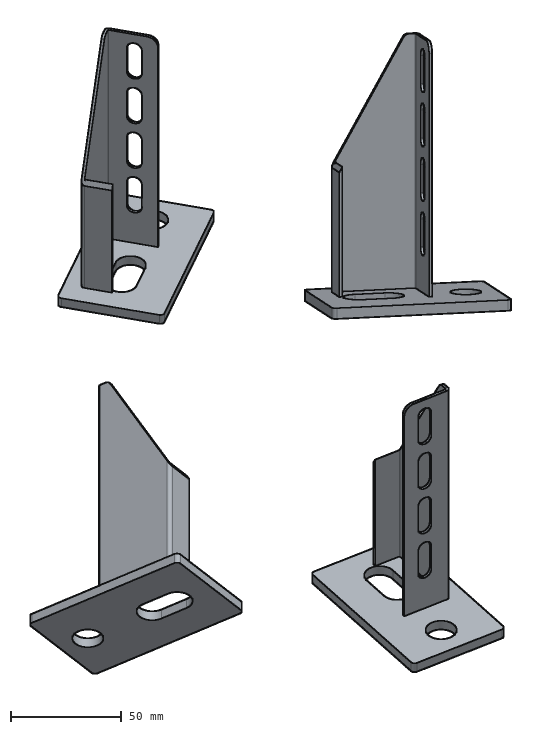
import cadquery as cq
import math

plate_width = 50.0
plate_depth = 84.0
plate_thickness = 5.0
plate_corner_radius = 2.0
hole_diameter = 14.0
round_hole_y = 27.1
long_hole_y = -16.1
long_hole_length = 28.0

total_height = 122.0
sheet_thickness = 1.5
bend_outer_radius = 1.7
bend_inner_radius = bend_outer_radius - sheet_thickness
web_x = -17.0
back_y = 9.2
front_y = -31.6
back_flange_width = 25.0
front_flange_width = 14.8
back_flange_corner_radius = 5.0

front_height = 62.2
slope_angle = math.radians(60)
slope_corner_radius = 3.0

slot_count = 4
slot_pitch = 25.0
slot_width = 7.1
slot_length = 19.9
slot_x = -3.0
slot_top_margin = 5.0


def make_plate():
    plate = (
        cq.Workplane("XY")
        .rect(plate_width, plate_depth)
        .extrude(plate_thickness)
        .edges("|Z")
        .fillet(plate_corner_radius)
    )
    plate = plate.cut(
        cq.Workplane("XY")
        .center(0, round_hole_y)
        .circle(hole_diameter / 2)
        .extrude(plate_thickness)
    )
    return plate.cut(
        cq.Workplane("XY")
        .center(0, long_hole_y)
        .slot2D(long_hole_length, hole_diameter, 90)
        .extrude(plate_thickness)
    )


def make_folded_sheet():
    inner_x = web_x + sheet_thickness
    back_end_x = web_x + back_flange_width
    front_end_x = web_x + front_flange_width
    sheet = (
        cq.Workplane("XY", origin=(0, 0, plate_thickness))
        .polyline([
            (web_x, front_y),
            (front_end_x, front_y),
            (front_end_x, front_y + sheet_thickness),
            (inner_x, front_y + sheet_thickness),
            (inner_x, back_y - sheet_thickness),
            (back_end_x, back_y - sheet_thickness),
            (back_end_x, back_y),
            (web_x, back_y),
        ])
        .close()
        .extrude(total_height - plate_thickness)
    )
    sheet = sheet.edges("|Z and <X").fillet(bend_outer_radius)
    inner_bends = cq.selectors.BoxSelector(
        (inner_x - bend_inner_radius, front_y, 0),
        (inner_x + bend_inner_radius, back_y, total_height),
    )
    sheet = sheet.edges("|Z").edges(inner_bends).fillet(bend_inner_radius)
    return sheet.edges("|Y and >X and >Z").fillet(back_flange_corner_radius)


def make_side_outline():
    """Prism across X that bounds the upright below its sloping top edge."""
    slope_top_y = front_y + (total_height - front_height) / math.tan(slope_angle)
    outline = (
        cq.Workplane("YZ", origin=(web_x, 0, 0))
        .polyline([
            (front_y, 0),
            (back_y, 0),
            (back_y, total_height),
            (slope_top_y, total_height),
            (front_y, front_height),
        ])
        .close()
        .extrude(back_flange_width)
    )
    slope_corner = cq.selectors.NearestToPointSelector(
        (web_x + back_flange_width / 2, slope_top_y, total_height)
    )
    return outline.edges(slope_corner).fillet(slope_corner_radius)


def make_slots():
    top_slot_z = total_height - slot_top_margin - slot_length / 2
    centres = [(slot_x, top_slot_z - i * slot_pitch) for i in range(slot_count)]
    return (
        cq.Workplane("XZ", origin=(0, back_y, 0))
        .pushPoints(centres)
        .slot2D(slot_length, slot_width, 90)
        .extrude(2 * sheet_thickness)
    )


upright = make_folded_sheet().intersect(make_side_outline()).cut(make_slots())
result = make_plate().union(upright)